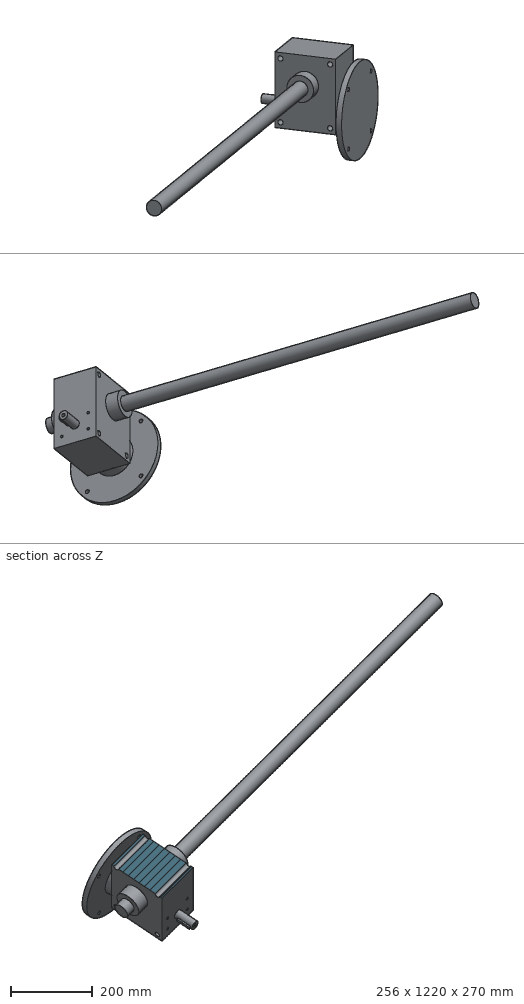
import cadquery as cq


HOUSING_LENGTH = 160.0
HOUSING_WIDTH = 121.0
HOUSING_HEIGHT = 195.0
HOUSING_BOTTOM = -50.0
HOUSING_MIDDLE_Z = HOUSING_BOTTOM + HOUSING_HEIGHT / 2
MOUNTING_HOLE_DIAMETER = 13.0
MOUNTING_HOLE_SPACING_X = 130.0
MOUNTING_HOLE_SPACING_Z = 165.0

BOSS_DIAMETER = 70.0
BOSS_HEIGHT = 34.0

TAPPED_HOLE_DIAMETER = 6.6
TAPPED_HOLE_DEPTH = 15.0
TAPPED_HOLE_SPACING_Y = 76.0
TAPPED_HOLE_SPACING_Z = 45.0

FLANGE_DIAMETER = 250.0
FLANGE_THICKNESS = 15.0
NECK_LENGTH = 26.0
NECK_DIAMETER_AT_HOUSING = 100.0
NECK_DIAMETER_AT_FLANGE = 107.0
FLANGE_HOLE_DIAMETER = 10.1
FLANGE_HOLE_SPACING = 154.0

SCREW_DIAMETER = 40.0
SCREW_AXIS_Z = 70.0
OVERALL_LENGTH = 1220.0
SCREW_TAIL = 26.0
SCREW_REAR_Y = HOUSING_WIDTH / 2 + BOSS_HEIGHT + SCREW_TAIL
SCREW_FRONT_Y = FLANGE_DIAMETER / 2 - OVERALL_LENGTH

SHAFT_DIAMETER = 25.0
SHAFT_PROJECTION = 55.0
SHAFT_END_X = -HOUSING_LENGTH / 2 - SHAFT_PROJECTION
CENTRE_HOLE_DIAMETER = 9.0
CENTRE_HOLE_DEPTH = 15.0
KEY_LENGTH = 40.0
KEY_WIDTH = 9.0
KEY_PROJECTION = 4.0
KEY_END_GAP = 5.0


def cylinder_x(diameter, start_x, end_x):
    """Cylinder on the input shaft axis."""
    return cq.Workplane("YZ", origin=(start_x, 0, 0)).circle(diameter / 2).extrude(end_x - start_x)


def cylinder_y(diameter, start_y, end_y):
    """Cylinder on the screw axis."""
    section = cq.Workplane("XZ", origin=(0, start_y, SCREW_AXIS_Z)).circle(diameter / 2)
    return section.extrude(start_y - end_y)


def make_housing():
    left_x = -HOUSING_LENGTH / 2
    front_y = -HOUSING_WIDTH / 2
    block = cq.Workplane("XY", origin=(0, 0, HOUSING_MIDDLE_Z)).box(
        HOUSING_LENGTH, HOUSING_WIDTH, HOUSING_HEIGHT
    )
    boss_end_y = HOUSING_WIDTH / 2 + BOSS_HEIGHT
    bosses = cylinder_y(BOSS_DIAMETER, -boss_end_y, boss_end_y)

    mounting_holes = (
        cq.Workplane("XZ", origin=(0, front_y, HOUSING_MIDDLE_Z))
        .rarray(MOUNTING_HOLE_SPACING_X, MOUNTING_HOLE_SPACING_Z, 2, 2)
        .circle(MOUNTING_HOLE_DIAMETER / 2)
        .extrude(-HOUSING_WIDTH)
    )
    tapped_holes = (
        cq.Workplane("YZ", origin=(left_x, 0, 0))
        .rarray(TAPPED_HOLE_SPACING_Y, TAPPED_HOLE_SPACING_Z, 2, 2)
        .circle(TAPPED_HOLE_DIAMETER / 2)
        .extrude(TAPPED_HOLE_DEPTH)
    )
    screw_bore = cylinder_y(SCREW_DIAMETER, -boss_end_y, boss_end_y)
    shaft_bore = cylinder_x(SHAFT_DIAMETER, left_x, -left_x)
    housing = block.union(bosses)
    return housing.cut(mounting_holes).cut(tapped_holes).cut(screw_bore).cut(shaft_bore)


def make_screw():
    return cylinder_y(SCREW_DIAMETER, SCREW_FRONT_Y, SCREW_REAR_Y)


def make_input_shaft():
    shaft = cylinder_x(SHAFT_DIAMETER, SHAFT_END_X, HOUSING_LENGTH / 2)
    key_root_y = SHAFT_DIAMETER / 4
    key_top_y = SHAFT_DIAMETER / 2 + KEY_PROJECTION
    key = cq.Workplane("XY").box(
        KEY_LENGTH, key_top_y - key_root_y, KEY_WIDTH, centered=(False, False, True)
    ).translate((SHAFT_END_X + KEY_END_GAP, key_root_y, 0))
    centre_hole = cylinder_x(CENTRE_HOLE_DIAMETER, SHAFT_END_X, SHAFT_END_X + CENTRE_HOLE_DEPTH)
    return shaft.union(key).cut(centre_hole)


def make_flange():
    neck_start_x = HOUSING_LENGTH / 2
    disc_start_x = neck_start_x + NECK_LENGTH
    neck = (
        cq.Workplane("YZ", origin=(neck_start_x, 0, 0))
        .circle(NECK_DIAMETER_AT_HOUSING / 2)
        .workplane(offset=NECK_LENGTH)
        .circle(NECK_DIAMETER_AT_FLANGE / 2)
        .loft(ruled=True)
    )
    disc = cylinder_x(FLANGE_DIAMETER, disc_start_x, disc_start_x + FLANGE_THICKNESS)
    bolt_holes = (
        cq.Workplane("YZ", origin=(disc_start_x, 0, 0))
        .rarray(FLANGE_HOLE_SPACING, FLANGE_HOLE_SPACING, 2, 2)
        .circle(FLANGE_HOLE_DIAMETER / 2)
        .extrude(FLANGE_THICKNESS)
    )
    return disc.union(neck).cut(bolt_holes)


housing = make_housing()
screw = make_screw()
input_shaft = make_input_shaft()
flange = make_flange()

result = cq.Compound.makeCompound([housing.val(), screw.val(), input_shaft.val(), flange.val()])